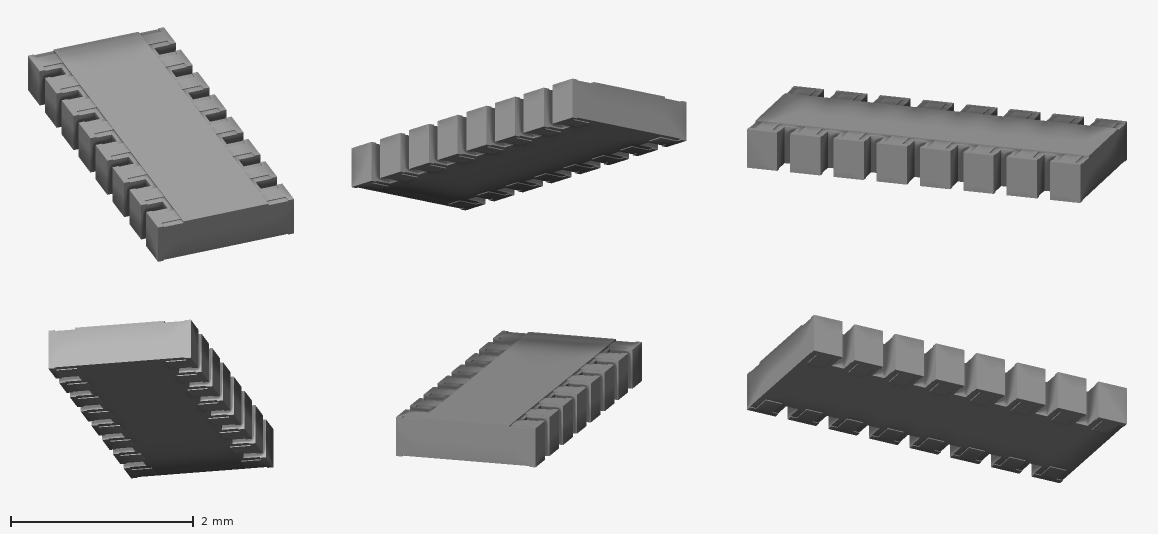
import cadquery as cq


length = 3.85
width = 1.6
height = 0.45

finger_count = 8
finger_width = 0.35
notch_depth = 0.255
finger_pitch = (length - finger_width) / (finger_count - 1)
notch_width = finger_pitch - finger_width
finger_centers = [(i - (finger_count - 1) / 2) * finger_pitch for i in range(finger_count)]
notch_centers = [(i - (finger_count - 2) / 2) * finger_pitch for i in range(finger_count - 1)]

wall_thickness = 0.07
strip_thickness = 0.01
strip_side_margin = 0.077
strip_width = finger_width - 2 * strip_side_margin

cover_width = 1.0
cover_thickness = 0.02

base_bottom = strip_thickness
base_top = height - cover_thickness
terminal_top = base_top + strip_thickness

outer_y = width / 2
wall_inner_y = outer_y - wall_thickness
strip_inner_y = cover_width / 2
notch_floor_y = outer_y - notch_depth


def block(center_x, size_x, y_range, z_range):
    """Box centred on center_x that spans the given Y and Z ranges."""
    y_start, y_end = y_range
    z_start, z_end = z_range
    return (
        cq.Workplane("XY")
        .box(size_x, y_end - y_start, z_end - z_start, centered=(True, False, False))
        .translate((center_x, y_start, z_start))
    )


def make_terminal(center_x):
    """Terminal that wraps the end of a +Y finger."""
    strip_y = (strip_inner_y, outer_y)
    wall = block(center_x, finger_width, (wall_inner_y, outer_y), (0, terminal_top))
    top_strip = block(center_x, strip_width, strip_y, (base_top, terminal_top))
    bottom_strip = block(center_x, strip_width, strip_y, (0, base_bottom))
    return wall.union(top_strip).union(bottom_strip).clean().solids()


def make_notch(center_x):
    """Gap between two neighbouring +Y fingers."""
    return block(center_x, notch_width, (notch_floor_y, outer_y), (base_bottom, base_top))


def make_base():
    """Notched base with its -Y terminals as part of the same solid."""
    base = block(0, length, (-wall_inner_y, wall_inner_y), (base_bottom, base_top))
    for center_x in notch_centers:
        notch = make_notch(center_x)
        base = base.cut(notch).cut(notch.mirror("XZ"))
    for center_x in finger_centers:
        base = base.union(make_terminal(center_x).mirror("XZ"))
    return base.clean().solids()


def make_cover():
    """Thin plate on top of the base, over its full length."""
    return block(0, length, (-cover_width / 2, cover_width / 2), (base_top, height))


base = make_base()
cover = make_cover()
terminals = [make_terminal(center_x) for center_x in finger_centers]

result = cq.Compound.makeCompound(
    [base.val(), cover.val(), *[terminal.val() for terminal in terminals]]
)